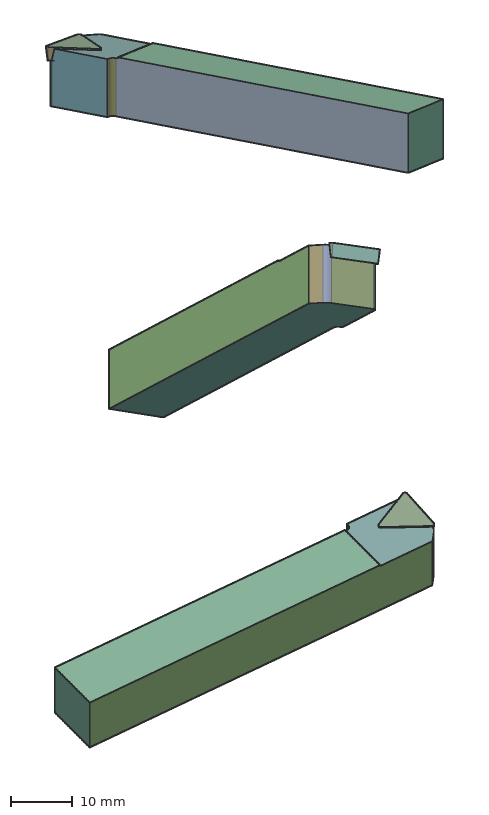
import cadquery as cq
import math

overall_length = 69.95
shank_size = 10.0

insert_top = 10.1
insert_thickness = 2.4
insert_nose_radius = 0.4
insert_clearance_angle = 7.0
insert_straight_edge = 8.25
insert_tip_y = -1.75
edge_tilt = 2.8

head_top = 9.8
head_side_y = -1.2
head_front_x = 0.4
head_end_x = 11.9
side_fillet = 0.85
front_corner_radius = 0.55
back_corner_radius = 2.1
back_corner_y = 7.7
bevel_end_x = 2.9
shank_start_x = 13.1
step_radius = shank_size - head_top


def make_insert():
    """Triangular insert, built down from its top face."""
    radius = insert_nose_radius

    def along_edge(start, edge_angle):
        angle = math.radians(edge_angle)
        return (start[0] + insert_straight_edge * math.cos(angle),
                start[1] + insert_straight_edge * math.sin(angle))

    nose = (radius, insert_tip_y + radius)
    inner = along_edge(nose, 30 - edge_tilt)
    back = along_edge(nose, 90 - edge_tilt)

    def on_corner(center, angle):
        return (center[0] + radius * math.cos(math.radians(angle)),
                center[1] + radius * math.sin(math.radians(angle)))

    outline = cq.Workplane("XY", origin=(0, 0, insert_top))
    corners = [(nose, 240 - edge_tilt), (inner, -edge_tilt), (back, 120 - edge_tilt)]
    outline = outline.moveTo(*on_corner(nose, corners[0][1] - 60))
    for index, (center, middle_angle) in enumerate(corners):
        if index > 0:
            outline = outline.lineTo(*on_corner(center, middle_angle - 60))
        outline = outline.threePointArc(on_corner(center, middle_angle), on_corner(center, middle_angle + 60))
    return outline.close().extrude(-insert_thickness, taper=insert_clearance_angle)


def make_holder_blank():
    """Square shank with the wider, bevelled head at its front end."""
    back_corner_x = head_front_x + (back_corner_y - head_side_y) * math.tan(math.radians(edge_tilt))
    fillet_mid = side_fillet * (1 - math.sqrt(0.5))
    blank = (
        cq.Workplane("XY")
        .moveTo(head_front_x, head_side_y)
        .lineTo(head_end_x, head_side_y)
        .lineTo(head_end_x, -side_fillet)
        .threePointArc((head_end_x + fillet_mid, -fillet_mid), (head_end_x + side_fillet, 0))
        .lineTo(overall_length, 0)
        .lineTo(overall_length, shank_size)
        .lineTo(bevel_end_x, shank_size)
        .lineTo(back_corner_x, back_corner_y)
        .close()
        .extrude(shank_size)
    )
    front_corner = cq.selectors.NearestToPointSelector((head_front_x, head_side_y, shank_size / 2))
    back_corner = cq.selectors.NearestToPointSelector((back_corner_x, back_corner_y, shank_size / 2))
    blank = blank.edges(front_corner).fillet(front_corner_radius)
    return blank.edges(back_corner).fillet(back_corner_radius)


def make_head_top_cut():
    """Material above the head, ending in a concave quarter round at the shank."""
    round_mid = step_radius * math.sqrt(0.5)
    round_center_x = shank_start_x - step_radius
    return (
        cq.Workplane("XZ", origin=(0, shank_size, 0))
        .moveTo(0, head_top)
        .lineTo(round_center_x, head_top)
        .threePointArc((round_center_x + round_mid, shank_size - round_mid), (shank_start_x, shank_size))
        .lineTo(0, shank_size)
        .close()
        .extrude(shank_size - head_side_y)
    )


insert = make_insert()
holder = make_holder_blank().cut(make_head_top_cut()).cut(insert)

result = cq.Compound.makeCompound([holder.solids().val(), insert.val()])